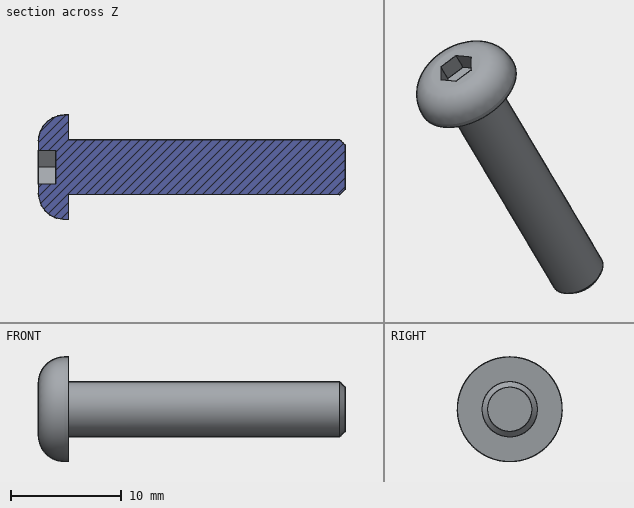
import cadquery as cq
import math

shank_diameter = 5.0
shank_length = 25.0
tip_chamfer = 0.5

head_diameter = 9.5
head_height = 2.75
rim_width = 0.35
crown_flat_diameter = 4.8

socket_across_flats = 3.0
socket_depth = 1.56


def make_head():
    """Revolved head: flat crown, dome arc tangent to the rim."""
    rim_radius = head_diameter / 2
    flat_radius = crown_flat_diameter / 2
    rise = head_height - rim_width
    inset = rim_radius - flat_radius
    dome_radius = (rise**2 + inset**2) / (2 * inset)
    half_angle = math.atan2(rise, dome_radius - inset) / 2
    dome_middle = (
        -rim_width - dome_radius * math.sin(half_angle),
        rim_radius - dome_radius + dome_radius * math.cos(half_angle),
    )
    return (
        cq.Workplane("XZ")
        .moveTo(0, 0)
        .lineTo(0, rim_radius)
        .lineTo(-rim_width, rim_radius)
        .threePointArc(dome_middle, (-head_height, flat_radius))
        .lineTo(-head_height, 0)
        .close()
        .revolve(360, (0, 0, 0), (1, 0, 0))
    )


def make_shank():
    """Plain cylindrical shank with a chamfered tip."""
    return (
        cq.Workplane("YZ")
        .circle(shank_diameter / 2)
        .extrude(shank_length)
        .faces(">X")
        .chamfer(tip_chamfer)
    )


def make_socket():
    """Hexagonal socket with two corners pointing along Z."""
    across_corners = socket_across_flats / math.cos(math.pi / 6)
    return (
        cq.Workplane("YZ", origin=(-head_height, 0, 0))
        .transformed(rotate=(0, 0, 90))
        .polygon(6, across_corners)
        .extrude(socket_depth)
    )


result = make_head().union(make_shank()).cut(make_socket())